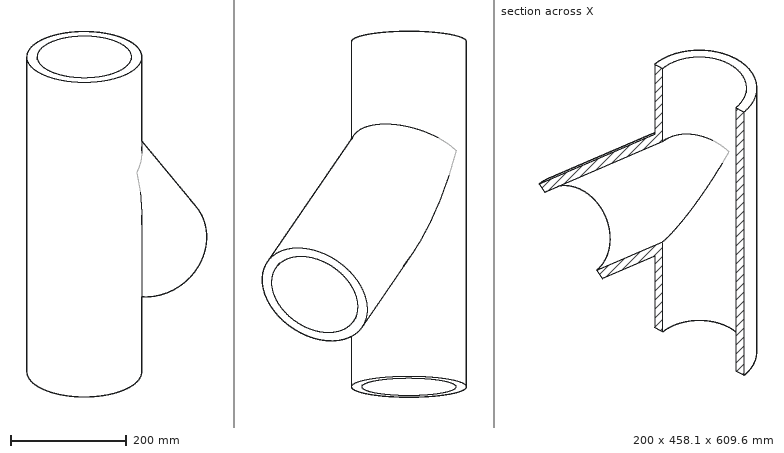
import cadquery as cq
import math

outer_diameter = 200.0
wall_thickness = 18.2
inner_diameter = outer_diameter - 2 * wall_thickness

upper_length = 203.2
lower_length = 406.4
branch_length = 406.4

branch_angle = math.radians(45)
branch_direction = cq.Vector(0, math.sin(branch_angle), -math.cos(branch_angle))


def main_cylinder(diameter):
    """Vertical cylinder over the full length of the main run."""
    bottom = cq.Workplane("XY").workplane(offset=-lower_length)
    return bottom.circle(diameter / 2).extrude(lower_length + upper_length)


def branch_cylinder(diameter):
    """Cylinder from the axis crossing down along the branch."""
    start = cq.Plane(origin=(0, 0, 0), xDir=(1, 0, 0), normal=branch_direction)
    return cq.Workplane(start).circle(diameter / 2).extrude(branch_length)


def wye(diameter):
    """Main run and branch of one diameter joined together."""
    return main_cylinder(diameter).union(branch_cylinder(diameter))


result = wye(outer_diameter).cut(wye(inner_diameter))